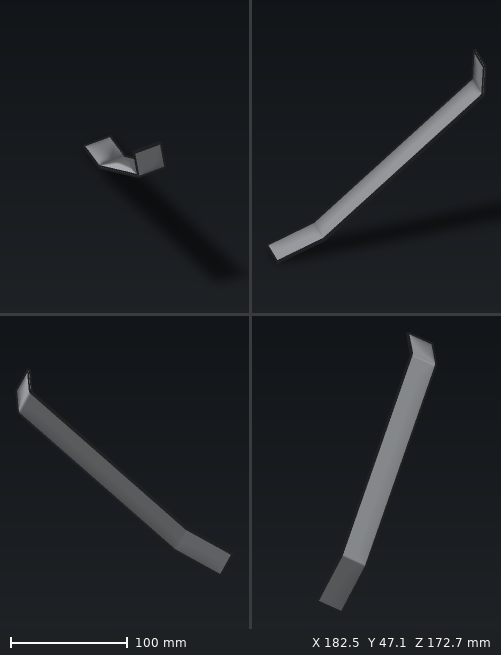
import cadquery as cq
import math

WIDTH = 24.61
THICKNESS = 2.1
INNER_BEND_RADIUS = 3.0
OUTER_BEND_RADIUS = INNER_BEND_RADIUS + THICKNESS

PROFILE_LENGTH = 182.51
PROFILE_HEIGHT = 170.98

QUARTER_TURN = math.pi / 2

LOWER_SLOPE = math.radians(20.0)
MIDDLE_SLOPE = math.radians(41.8)
TOP_SLOPE = QUARTER_TURN

LOWER_LENGTH = 44.9
END_SETBACK = THICKNESS * math.sin(LOWER_SLOPE)
MIDDLE_RUN = PROFILE_LENGTH - END_SETBACK - LOWER_LENGTH * math.cos(LOWER_SLOPE)
MIDDLE_LENGTH = MIDDLE_RUN / math.cos(MIDDLE_SLOPE)

TILT_DEGREES = 7.62


def step(point, slope, length):
    """Point reached by going `length` from `point` along a line of the given slope."""
    x, z = point
    return (x + length * math.cos(slope), z + length * math.sin(slope))


def inner_corner(outer_corner, slope_before, slope_after):
    """Corner of the inner face, one thickness away from both faces of an outer corner."""
    half_bend = (slope_after - slope_before) / 2
    bisector = (slope_before + slope_after) / 2 + QUARTER_TURN
    return step(outer_corner, bisector, THICKNESS / math.cos(half_bend))


def round_bends(strip, corners, radius):
    """Fillet the widthwise edges that stand on the given profile corners."""
    for x, z in corners:
        edge = strip.edges(cq.selectors.NearestToPointSelector((x, WIDTH / 2, z)))
        strip = edge.fillet(radius)
    return strip


def bent_strip():
    """Three-leg strip with rounded bends, standing upright across its width in Y."""
    outer_start = (0.0, 0.0)
    outer_low_bend = step(outer_start, LOWER_SLOPE, LOWER_LENGTH)
    outer_high_bend = step(outer_low_bend, MIDDLE_SLOPE, MIDDLE_LENGTH)
    outer_top = (outer_high_bend[0], PROFILE_HEIGHT)
    inner_top = (outer_top[0] - THICKNESS, PROFILE_HEIGHT)
    inner_high_bend = inner_corner(outer_high_bend, MIDDLE_SLOPE, TOP_SLOPE)
    inner_low_bend = inner_corner(outer_low_bend, LOWER_SLOPE, MIDDLE_SLOPE)
    inner_start = step(outer_start, LOWER_SLOPE + QUARTER_TURN, THICKNESS)

    outline = [
        outer_start, outer_low_bend, outer_high_bend, outer_top,
        inner_top, inner_high_bend, inner_low_bend, inner_start,
    ]
    strip = cq.Workplane("XZ").polyline(outline).close().extrude(-WIDTH)
    strip = round_bends(strip, [outer_low_bend, outer_high_bend], OUTER_BEND_RADIUS)
    return round_bends(strip, [inner_low_bend, inner_high_bend], INNER_BEND_RADIUS)


result = bent_strip().rotate((0, 0, 0), (1, 0, 0), TILT_DEGREES)